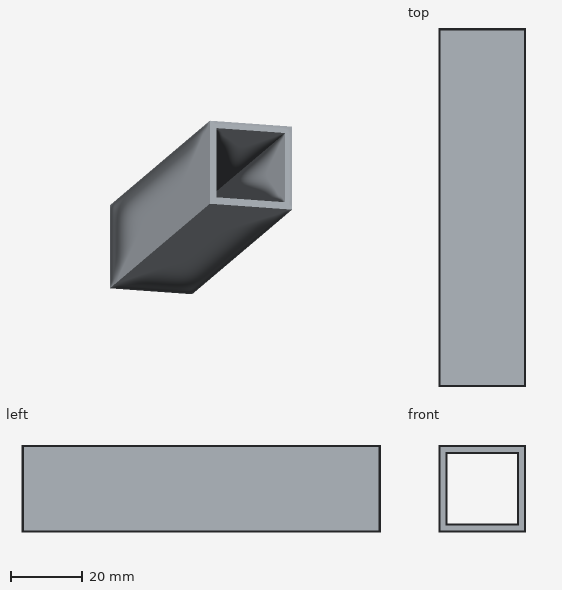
import cadquery as cq

length = 100.0
outer_side = 24.0
wall = 2.0
inner_side = outer_side - 2 * wall

outer_body = cq.Workplane("XY").box(outer_side, length, outer_side)
bore = cq.Workplane("XY").box(inner_side, length, inner_side)

result = outer_body.cut(bore)